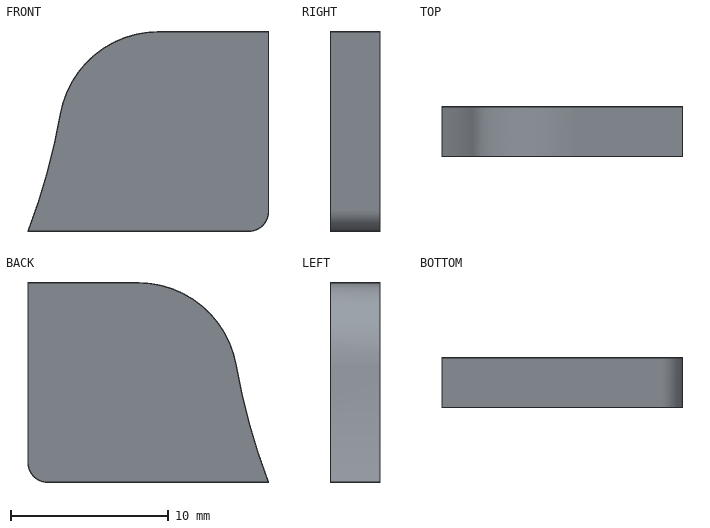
import cadquery as cq
import math

length = 15.31
height = 12.7
thickness = 3.175
shoulder_radius = height / 2
top_flat = 7.0
blend_angle = 10.0
corner_radius = 1.27

shoulder_x = length - top_flat
shoulder_z = height - shoulder_radius


def shoulder_point(angle):
    """Point on the shoulder arc, at degrees measured up from the -X direction."""
    turn = math.radians(angle)
    x = shoulder_x - shoulder_radius * math.cos(turn)
    z = shoulder_z + shoulder_radius * math.sin(turn)
    return x, z


def make_plate():
    """Plate with a convex shoulder running tangentially into a concave flare."""
    top_angle = 90.0
    middle_angle = (top_angle + blend_angle) / 2
    profile = (
        cq.Workplane("XZ")
        .moveTo(0, 0)
        .lineTo(length, 0)
        .lineTo(length, height)
        .lineTo(shoulder_x, height)
        .threePointArc(shoulder_point(middle_angle), shoulder_point(blend_angle))
        .tangentArcPoint((0, 0), relative=False)
        .close()
    )
    return profile.extrude(thickness)


def round_lower_corner(plate):
    """Round the edge where the bottom meets the straight end."""
    return plate.faces(">X").edges("<Z").fillet(corner_radius)


result = round_lower_corner(make_plate())